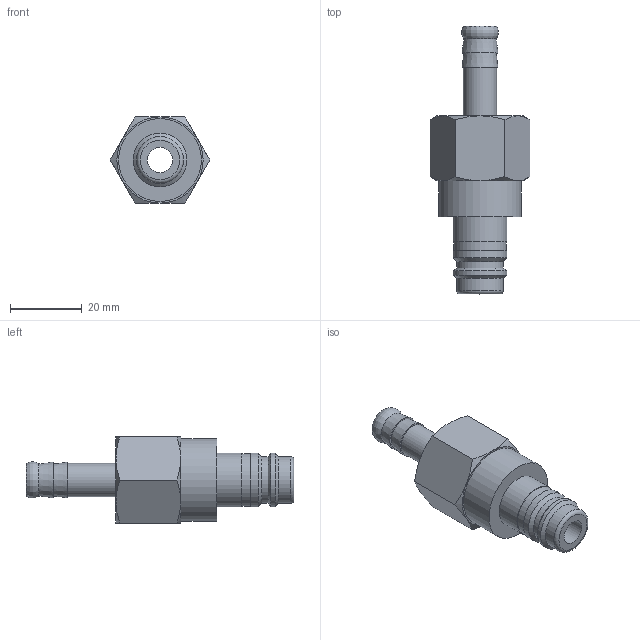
import cadquery as cq
import math

total_length = 74.5
bore_radius = 3.5

plug_radius = 7.5
nose_radius = 6.5
tip_round = 1.0
bead_front = 4.35
bead_width = 2.85
bead_front_cone = 0.85
bead_back_cone = 0.8
collar_front = 9.0
collar_cone = 1.0
collar_back = 12.0
relief_radius = 7.3
shank_front = 14.5

body_radius = 11.5
body_front = 21.5
body_length = 10.0
hex_front = body_front + body_length
hex_length = 18.0
hex_back = hex_front + hex_length
hex_across_flats = 24.0
hex_sides = 6
hex_across_corners = hex_across_flats / math.cos(math.pi / hex_sides)
hex_chamfer_angle = 30.0
hex_corner_clearance = 1.0

hose_radius = 4.6
barb_radius = 5.0
barb_root_radius = 4.5
barb_length = 4.0
barb_count = 2
bulb_length = 3.5
bulb_radius = 5.15
bulb_end_radius = barb_root_radius
bulb_back = total_length - bulb_length
barbs_front = bulb_back - barb_count * barb_length


def revolve_about_y(profile):
    """Turn a closed radius/position profile a full circle about the Y axis."""
    return profile.close().revolve(360, (0, 0, 0), (0, 1, 0))


def make_plug():
    """Nose with bead, collar and shank, followed by the round body."""
    bead_back = bead_front + bead_width
    outline = [
        (nose_radius, bead_front),
        (plug_radius, bead_front + bead_front_cone),
        (plug_radius, bead_back - bead_back_cone),
        (nose_radius, bead_back),
        (nose_radius, collar_front),
        (plug_radius, collar_front + collar_cone),
        (plug_radius, collar_back),
        (relief_radius, collar_back),
        (relief_radius, shank_front),
        (plug_radius, shank_front),
        (plug_radius, body_front),
        (body_radius, body_front),
        (body_radius, hex_front),
        (0, hex_front),
    ]
    profile = (
        cq.Workplane("XY")
        .lineTo(nose_radius - tip_round, 0)
        .radiusArc((nose_radius, tip_round), -tip_round)
    )
    for point in outline:
        profile = profile.lineTo(*point)
    return revolve_about_y(profile)


def make_hexagon():
    """Hexagon with two corners on the X axis and both ends chamfered by a cone."""
    prism = (
        cq.Workplane("XZ", origin=(0, hex_front, 0))
        .polygon(hex_sides, hex_across_corners)
        .extrude(-hex_length)
    )
    face_radius = hex_across_flats / 2
    rim_radius = hex_across_corners / 2 + hex_corner_clearance
    rim_depth = (rim_radius - face_radius) * math.tan(math.radians(hex_chamfer_angle))
    envelope = revolve_about_y(
        cq.Workplane("XY")
        .moveTo(0, hex_front)
        .lineTo(face_radius, hex_front)
        .lineTo(rim_radius, hex_front + rim_depth)
        .lineTo(rim_radius, hex_back - rim_depth)
        .lineTo(face_radius, hex_back)
        .lineTo(0, hex_back)
    )
    return prism.intersect(envelope)


def make_hose_tail():
    """Hose tube with barbs that taper towards a rounded bulb at the end."""
    profile = (
        cq.Workplane("XY")
        .moveTo(0, hex_back)
        .lineTo(hose_radius, hex_back)
        .lineTo(hose_radius, barbs_front)
    )
    for index in range(barb_count):
        barb_front = barbs_front + index * barb_length
        profile = (
            profile
            .lineTo(barb_radius, barb_front)
            .lineTo(barb_root_radius, barb_front + barb_length)
        )
    profile = (
        profile
        .threePointArc((bulb_radius, bulb_back + bulb_length / 2), (bulb_end_radius, total_length))
        .lineTo(0, total_length)
    )
    return revolve_about_y(profile)


bore = cq.Workplane("XZ").circle(bore_radius).extrude(-total_length)
result = (
    make_plug()
    .union(make_hexagon())
    .union(make_hose_tail())
    .cut(bore)
    .translate((0, -total_length / 2, 0))
)